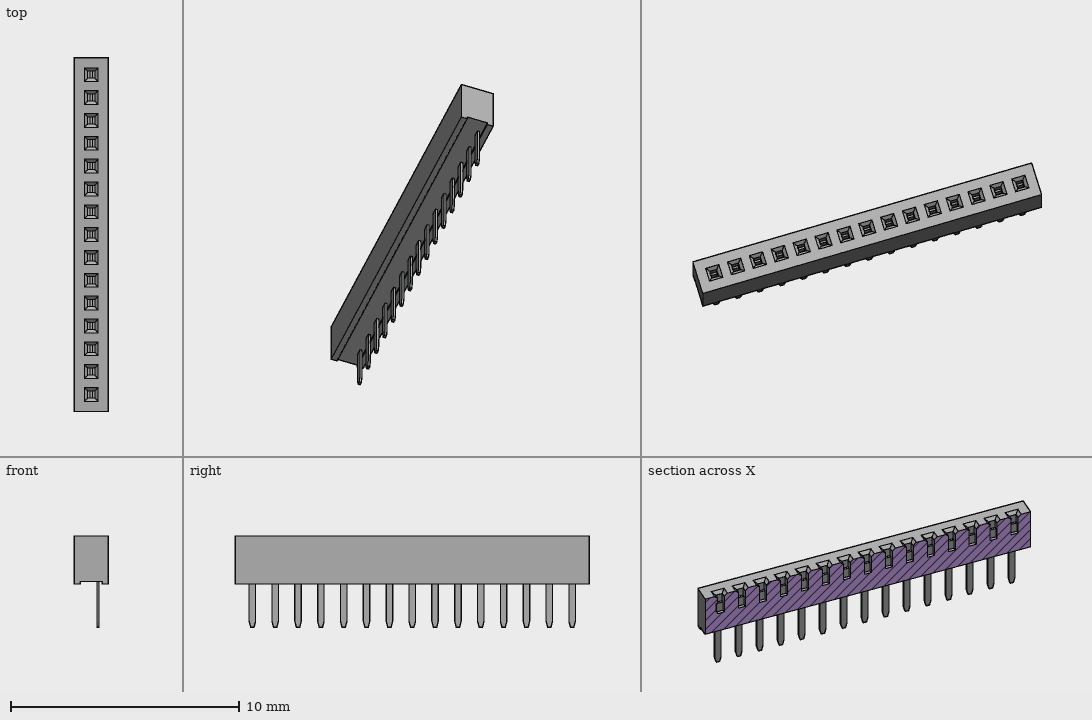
import cadquery as cq

body_width = 1.5
body_length = 15.5
total_height = 4.0
body_height = 2.11
rail_width = 0.28
rail_height = 0.11

contact_count = 15
pitch = 1.0

mouth_size = 0.6
throat_size = 0.31
funnel_depth = 0.14
socket_depth = 1.0
finger_width = 0.1
finger_drop = 0.4

pin_offset = 0.3
pin_thickness = 0.1
pin_width = 0.3
tip_width = 0.15
tip_length = 0.26

body_top = total_height
body_bottom = body_top - body_height
underside = body_bottom + rail_height
socket_floor = body_top - socket_depth
contact_places = [(i - (contact_count - 1) / 2) * pitch for i in range(contact_count)]

on_base = (True, True, False)


def make_housing():
    """Long block standing on two full-length rails along its bottom edges."""
    channel_width = body_width - 2 * rail_width
    base = cq.Workplane("XY", origin=(0, 0, body_bottom))
    block = base.box(body_width, body_length, body_height, centered=on_base)
    channel = base.box(channel_width, body_length, rail_height, centered=on_base)
    return block.cut(channel)


def make_socket(y):
    """Cavity with a tapered mouth, and a straight throat that holds two contact fingers."""
    throat_height = socket_depth - funnel_depth
    finger_height = throat_height - finger_drop
    finger_x = (throat_size - finger_width) / 2
    funnel = (
        cq.Workplane("XY", origin=(0, y, body_top))
        .rect(mouth_size, mouth_size)
        .workplane(offset=-funnel_depth)
        .rect(throat_size, throat_size)
        .loft()
    )
    floor = cq.Workplane("XY", origin=(0, y, socket_floor))
    throat = floor.box(throat_size, throat_size, throat_height, centered=on_base)
    fingers = floor.pushPoints([(-finger_x, 0), (finger_x, 0)]).box(
        finger_width, throat_size, finger_height, centered=on_base
    )
    return funnel.union(throat.cut(fingers))


def make_pin(y):
    """Flat solder pin with a tapered tip, hanging from the underside of the housing."""
    return (
        cq.Workplane("YZ", origin=(pin_offset - pin_thickness / 2, y, 0))
        .moveTo(-tip_width / 2, 0)
        .lineTo(tip_width / 2, 0)
        .lineTo(pin_width / 2, tip_length)
        .lineTo(pin_width / 2, underside)
        .lineTo(-pin_width / 2, underside)
        .lineTo(-pin_width / 2, tip_length)
        .close()
        .extrude(pin_thickness)
    )


result = make_housing()
for place in contact_places:
    result = result.cut(make_socket(place)).union(make_pin(place))